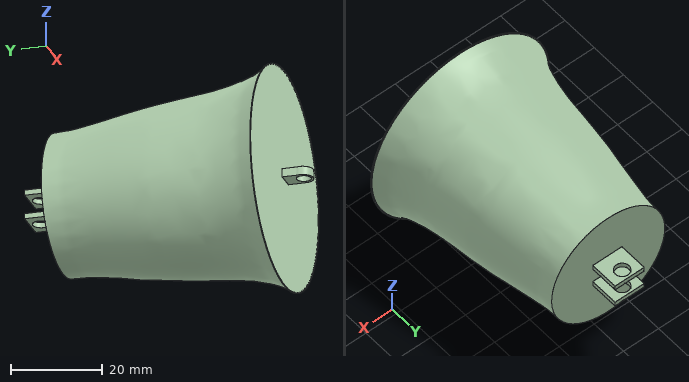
import cadquery as cq
import math

overall_length = 64.84
mouth_diameter = 50.8
body_length = 50.8
mouth_rim_thickness = 0.2
mouth_rim_ledge = 0.25
crown_rim_thickness = 0.4
crown_radius = 16.15
crown_shift_z = -0.35
waist_sections = [
    (3.4, 23.45),
    (9.0, 21.75),
    (19.2, 20.3),
    (35.0, 18.2),
]

hanger_center_x = 0.28
hanger_center_z = -0.55
hanger_width = 8.3
hanger_length = 7.62
hanger_thickness = 1.27
hanger_gap = 4.3
hanger_hole_diameter = 3.81
hanger_hole_from_tip = 2.54

eye_center_x = 0.28
eye_center_z = 0.5
eye_thickness = 1.95
eye_length = overall_length - body_length - hanger_length
eye_radius = 2.4
eye_neck_left = 2.3
eye_hole_diameter = 3.3
eye_hole_offset = 0.25

root_overlap = 1.0


def circle_at(y, radius):
    """Circular wire across Y whose center drifts evenly from the mouth axis to the shifted crown."""
    center = cq.Vector(0, y, crown_shift_z * y / body_length)
    return cq.Wire.makeCircle(radius, center, cq.Vector(0, 1, 0))


def make_rim(y, radius, thickness):
    """Thin cylinder along Y that starts at the given Y."""
    rim_start = circle_at(y, radius)
    return cq.Workplane(cq.Solid.extrudeLinear(rim_start, [], cq.Vector(0, thickness, 0)))


def make_body():
    """Solid bell: a smooth flared wall between a thin mouth rim and a thin crown rim."""
    mouth_radius = mouth_diameter / 2
    crown_rim_y = body_length - crown_rim_thickness
    flare_start = (mouth_rim_thickness, mouth_radius - mouth_rim_ledge)
    sections = [flare_start] + waist_sections + [(crown_rim_y, crown_radius)]
    wall = cq.Solid.makeLoft([circle_at(y, radius) for y, radius in sections])
    mouth_rim = make_rim(0, mouth_radius, mouth_rim_thickness)
    crown_rim = make_rim(crown_rim_y, crown_radius, crown_rim_thickness)
    return cq.Workplane(wall).union(mouth_rim).union(crown_rim)


def make_hanger_lug(center_z):
    """Flat rectangular lug standing on the crown, with a cross hole near its tip."""
    tip_y = body_length + hanger_length
    full_length = hanger_length + root_overlap
    bottom = cq.Workplane("XY", origin=(hanger_center_x, 0, center_z - hanger_thickness / 2))
    plate = (
        bottom.center(0, tip_y - full_length / 2)
        .rect(hanger_width, full_length)
        .extrude(hanger_thickness)
    )
    hole = (
        bottom.center(0, tip_y - hanger_hole_from_tip)
        .circle(hanger_hole_diameter / 2)
        .extrude(hanger_thickness)
    )
    return plate.cut(hole)


def make_clapper_eye():
    """Round-ended eye below the mouth; its neck is flush with the eye on the right only."""
    center_y = eye_radius - eye_length
    neck_top_y = root_overlap
    neck_left_y = center_y + math.sqrt(eye_radius**2 - eye_neck_left**2)
    bottom = cq.Workplane("XY", origin=(eye_center_x, 0, eye_center_z - eye_thickness / 2))
    loop = (
        bottom.moveTo(-eye_neck_left, neck_top_y)
        .lineTo(-eye_neck_left, neck_left_y)
        .threePointArc((0, -eye_length), (eye_radius, center_y))
        .lineTo(eye_radius, neck_top_y)
        .close()
        .extrude(eye_thickness)
    )
    hole = (
        bottom.center(0, center_y - eye_hole_offset)
        .circle(eye_hole_diameter / 2)
        .extrude(eye_thickness)
    )
    return loop.cut(hole)


result = make_body().union(make_clapper_eye())
lug_offset = (hanger_gap + hanger_thickness) / 2
for side in (-1, 1):
    result = result.union(make_hanger_lug(hanger_center_z + side * lug_offset))